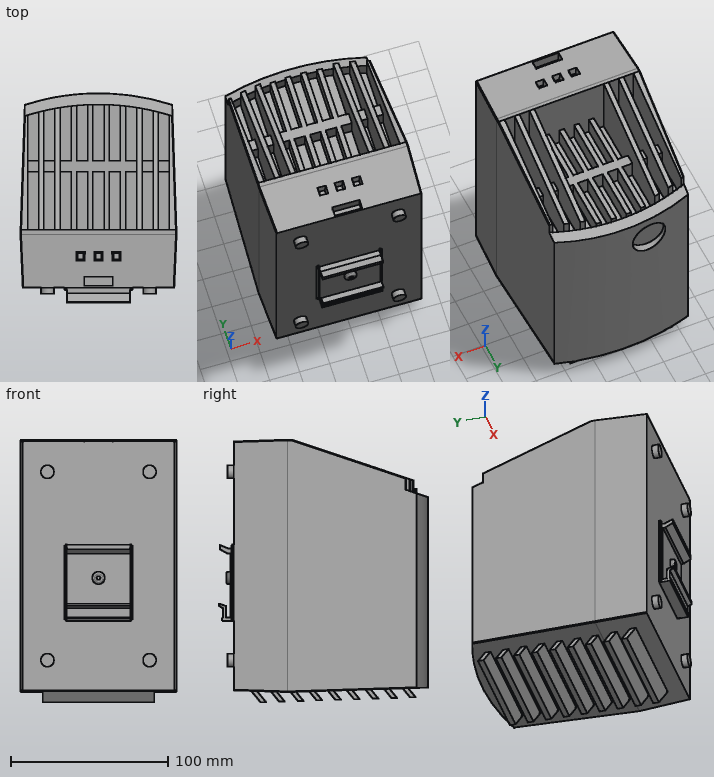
import cadquery as cq

TOTAL_WIDTH = 99.57
TOTAL_DEPTH = 133.18
TOTAL_HEIGHT = 167.1

PARTING_Y = 34.0
MAX_HALF_WIDTH = TOTAL_WIDTH / 2
BACK_HALF_WIDTH = 48.3
SIDE_END_Y = 115.4
SIDE_END_HALF_WIDTH = 47.0
CORNER_Y = 116.3
CORNER_HALF_WIDTH = 46.8
FRONT_Y = 123.6

TOP_Z = 160.7
END_TAPER = 1.1
BOTTOM_SLOPE = 0.032
OPENING_BACK_Y = 36.8
TOP_SLOPE = 0.335
EDGE_CHAMFER = 0.6

FRONT_WALL = 7.2
FRONT_WALL_DROP = 7.5

GAP_COUNT = 9
GAP_WIDTH = 7.0
GAP_PITCH = 10.4
GRILLE_DEPTH = 12.0
LOW_FIN_Z = 129.4
LOW_GAP_COUNT = 5
CROSSBAR_BACK_Y = 73.5
CROSSBAR_WIDTH = 7.0

DIAL_RADIUS = 12.0
DIAL_X = -16.7
DIAL_Z = 106.3
DIAL_FLOOR_Y = 118.0

WINDOW_PITCH = 11.4
WINDOW_Y = 19.8
WINDOW_SIZE = 5.8
WINDOW_FLOOR_SIZE = 3.7
WINDOW_DEPTH = 5.0
LATCH_WIDTH = 18.2
LATCH_LENGTH = 6.0
LATCH_BACK_Y = 1.0
LATCH_DEPTH = 8.0

FOOT_RADIUS = 4.2
FOOT_LENGTH = 4.1
FOOT_X = 32.5
FOOT_LOW_Z = 20.4
FOOT_HIGH_Z = 140.2

SLAT_COUNT = 9
SLAT_PITCH = 11.9
SLAT_WIDTH = 71.0
SLAT_THICKNESS = 3.7
SLAT_LEAN = 0.82
SLAT_RISE = 8.0
SLAT_FIRST_Y = 115.8
SLAT_LOWEST_Z = TOP_Z - TOTAL_HEIGHT

STRIP_SPREAD = 43.8
STRIP_THICKNESS = 1.7
STRIP_LOW_Z = 45.6
STRIP_HIGH_Z = 94.0
STRIP_CORNER = 1.2
STRIP_EDGE_CHAMFER = 0.8
CLIP_WIDTH = 40.2
CLIP_FACE_Y = -2.4

UPPER_HOOK_LOW_Z = 88.2
UPPER_HOOK_HIGH_Z = 91.5
UPPER_BEND_Y = -3.5
UPPER_UNDERSIDE_BEND_Y = -4.1
UPPER_TIP_Y = -8.9
UPPER_TIP_LOW_Z = 90.8
UPPER_TIP_HIGH_Z = 93.7

LOWER_HOOK_LOW_Z = 45.3
LOWER_FLOOR = 2.3
LOWER_WALL_Y = -5.0
LOWER_WALL = 2.0
LOWER_HEEL = 0.6
LOWER_LIP_ROOT_Z = 53.4
LOWER_LIP = 1.5
LOWER_TIP_Y = FRONT_Y - TOTAL_DEPTH

SCREW_Z = 72.7
SCREW_RADIUS = 4.0
SCREW_HEIGHT = 2.4
SCREW_ROUND = 1.3
SOCKET_SIDES = 6
SOCKET_DIAMETER = 2.6
SOCKET_DEPTH = 1.2

CUT_HEIGHT = 2 * TOP_Z
OVERLAP = 1.0


def behind_front_wall():
    """Prism along Z over the whole width, ending at the arched inner face of the front wall."""
    corner_y = CORNER_Y - FRONT_WALL
    return (
        cq.Workplane("XY")
        .moveTo(-MAX_HALF_WIDTH, OPENING_BACK_Y)
        .lineTo(MAX_HALF_WIDTH, OPENING_BACK_Y)
        .lineTo(MAX_HALF_WIDTH, corner_y)
        .lineTo(CORNER_HALF_WIDTH, corner_y)
        .threePointArc((0, FRONT_Y - FRONT_WALL), (-CORNER_HALF_WIDTH, corner_y))
        .lineTo(-MAX_HALF_WIDTH, corner_y)
        .close()
        .extrude(CUT_HEIGHT)
    )


def side_prism(points, width):
    """Prism along X, centred on x = 0, from (y, z) points."""
    return cq.Workplane("YZ").polyline(points).close().extrude(width / 2, both=True)


def top_z(y):
    """Height of the sloping top at y."""
    return TOP_Z - TOP_SLOPE * (y - OPENING_BACK_Y)


def bottom_z(y):
    """Height of the bottom at y, in front of the parting line."""
    return BOTTOM_SLOPE * (y - PARTING_Y)


def half_width(y):
    """Half width of the housing at y."""
    if y < PARTING_Y:
        return BACK_HALF_WIDTH + (MAX_HALF_WIDTH - BACK_HALF_WIDTH) * y / PARTING_Y
    narrowing = (MAX_HALF_WIDTH - SIDE_END_HALF_WIDTH) / (SIDE_END_Y - PARTING_Y)
    return MAX_HALF_WIDTH - narrowing * (y - PARTING_Y)


def edge_chamfer(stations, side, outward):
    """Wedge along a long edge through (y, z) stations; side is +1 or -1 in X, outward in Z."""
    wires = []
    for y, z in stations:
        edge_x = half_width(y)
        corners = [
            (edge_x - EDGE_CHAMFER - OVERLAP, z + outward * OVERLAP),
            (edge_x + OVERLAP, z - outward * (EDGE_CHAMFER + OVERLAP)),
            (edge_x + OVERLAP, z + outward * OVERLAP),
        ]
        points = [cq.Vector(side * x, y, corner_z) for x, corner_z in corners]
        wires.append(cq.Wire.makePolygon(points, close=True))
    return cq.Workplane(cq.Solid.makeLoft(wires, True))


def chamfer_long_edges(body):
    """Break the edges where the side walls meet the top and the bottom."""
    top = [
        (0, TOP_Z - END_TAPER),
        (PARTING_Y, TOP_Z),
        (OPENING_BACK_Y, TOP_Z),
        (CORNER_Y, top_z(CORNER_Y)),
    ]
    bottom = [(0, END_TAPER), (PARTING_Y, 0), (CORNER_Y, bottom_z(CORNER_Y))]
    for side in (-1, 1):
        body = body.cut(edge_chamfer(top, side, 1)).cut(edge_chamfer(bottom, side, -1))
    return body


def housing():
    plan = (
        cq.Workplane("XY")
        .moveTo(-BACK_HALF_WIDTH, 0)
        .lineTo(BACK_HALF_WIDTH, 0)
        .lineTo(MAX_HALF_WIDTH, PARTING_Y)
        .lineTo(SIDE_END_HALF_WIDTH, SIDE_END_Y)
        .lineTo(CORNER_HALF_WIDTH, CORNER_Y)
        .threePointArc((0, FRONT_Y), (-CORNER_HALF_WIDTH, CORNER_Y))
        .lineTo(-SIDE_END_HALF_WIDTH, SIDE_END_Y)
        .lineTo(-MAX_HALF_WIDTH, PARTING_Y)
        .close()
        .extrude(CUT_HEIGHT)
    )
    far_y = FRONT_Y + OVERLAP
    profile = side_prism(
        [
            (0, END_TAPER),
            (PARTING_Y, 0),
            (far_y, bottom_z(far_y)),
            (far_y, top_z(far_y)),
            (OPENING_BACK_Y, TOP_Z),
            (PARTING_Y, TOP_Z),
            (0, TOP_Z - END_TAPER),
        ],
        2 * MAX_HALF_WIDTH + OVERLAP,
    )
    return chamfer_long_edges(plan.intersect(profile))


def front_wall_step():
    """Space above the front wall, which stands lower than the fins."""
    rim_back_y = CORNER_Y - FRONT_WALL - OVERLAP
    far_y = FRONT_Y + OVERLAP
    above_rim = side_prism(
        [
            (rim_back_y, top_z(rim_back_y) - FRONT_WALL_DROP),
            (far_y, top_z(far_y) - FRONT_WALL_DROP),
            (far_y, TOP_Z),
            (rim_back_y, TOP_Z),
        ],
        2 * MAX_HALF_WIDTH,
    )
    return above_rim.cut(behind_front_wall())


def grille_cut():
    """Gaps between the fins, with the crossbar left standing and the middle fins lowered."""
    gaps = None
    length = FRONT_Y - OPENING_BACK_Y
    for i in range(GAP_COUNT):
        x = (i - (GAP_COUNT - 1) / 2) * GAP_PITCH
        gap = (
            cq.Workplane("XY", origin=(x, OPENING_BACK_Y + length / 2, LOW_FIN_Z - GRILLE_DEPTH))
            .rect(GAP_WIDTH, length)
            .extrude(TOP_Z)
        )
        gaps = gap if gaps is None else gaps.union(gap)
    crossbar = cq.Workplane("XY").box(
        2 * MAX_HALF_WIDTH, CROSSBAR_WIDTH, LOW_FIN_Z, centered=(True, False, False)
    )
    gaps = gaps.cut(crossbar.translate((0, CROSSBAR_BACK_Y, 0)))
    low_width = (LOW_GAP_COUNT - 1) * GAP_PITCH + GAP_WIDTH
    lowering = (
        cq.Workplane("XY", origin=(0, OPENING_BACK_Y + length / 2, LOW_FIN_Z))
        .rect(low_width, length)
        .extrude(TOP_Z)
    )
    return gaps.union(lowering).intersect(behind_front_wall())


def dial_recess():
    return (
        cq.Workplane("XZ", origin=(DIAL_X, FRONT_Y + OVERLAP, DIAL_Z))
        .circle(DIAL_RADIUS)
        .extrude(FRONT_Y + OVERLAP - DIAL_FLOOR_Y)
    )


def window_cuts():
    """Square windows narrowing towards their floors."""
    cuts = None
    for i in (-1, 0, 1):
        window = (
            cq.Workplane("XY", origin=(i * WINDOW_PITCH, WINDOW_Y, TOP_Z))
            .rect(WINDOW_SIZE, WINDOW_SIZE)
            .workplane(offset=-WINDOW_DEPTH)
            .rect(WINDOW_FLOOR_SIZE, WINDOW_FLOOR_SIZE)
            .loft()
        )
        cuts = window if cuts is None else cuts.union(window)
    return cuts


def latch_cut():
    """Rectangular pocket close to the mounting face."""
    pocket = cq.Workplane("XY").box(
        LATCH_WIDTH, LATCH_LENGTH, 2 * LATCH_DEPTH, centered=(True, False, True)
    )
    return pocket.translate((0, LATCH_BACK_Y, TOP_Z))


def feet():
    centres = [(x, z) for x in (-FOOT_X, FOOT_X) for z in (FOOT_LOW_Z, FOOT_HIGH_Z)]
    return (
        cq.Workplane("XZ", origin=(0, OVERLAP, 0))
        .pushPoints(centres)
        .circle(FOOT_RADIUS)
        .extrude(FOOT_LENGTH + OVERLAP)
    )


def slats():
    """Leaning slats, spaced along the sloping bottom."""
    slat_set = None
    for i in range(SLAT_COUNT):
        y = SLAT_FIRST_Y - i * SLAT_PITCH
        z = SLAT_LOWEST_Z + (SLAT_COUNT - 1 - i) * SLAT_PITCH * BOTTOM_SLOPE
        lean = SLAT_LEAN * SLAT_RISE
        slat = side_prism(
            [
                (y, z),
                (y - SLAT_THICKNESS, z),
                (y - SLAT_THICKNESS - lean, z + SLAT_RISE),
                (y - lean, z + SLAT_RISE),
            ],
            SLAT_WIDTH,
        )
        slat_set = slat if slat_set is None else slat_set.union(slat)
    return slat_set


def rail_clip():
    """Bent sheet with two hooks that grip the rail, between two side strips."""
    strips = (
        cq.Workplane("XZ", origin=(0, 0, (STRIP_LOW_Z + STRIP_HIGH_Z) / 2))
        .rect(STRIP_SPREAD, STRIP_HIGH_Z - STRIP_LOW_Z)
        .extrude(STRIP_THICKNESS)
        .edges("|Y")
        .chamfer(STRIP_CORNER)
        .faces("<Y")
        .chamfer(STRIP_EDGE_CHAMFER)
    )
    between = cq.Workplane("XY").box(CLIP_WIDTH, 2 * STRIP_THICKNESS, 2 * STRIP_HIGH_Z)
    strips = strips.cut(between)
    floor_z = LOWER_HOOK_LOW_Z + LOWER_FLOOR
    wall_outer_y = LOWER_WALL_Y - LOWER_WALL
    heel_y = wall_outer_y - LOWER_HEEL
    lip_tip_low_z = LOWER_LIP_ROOT_Z + LOWER_LIP
    lip_tip_high_z = lip_tip_low_z + LOWER_LIP
    sheet = side_prism(
        [
            (0, LOWER_HOOK_LOW_Z),
            (wall_outer_y, LOWER_HOOK_LOW_Z),
            (heel_y, LOWER_HOOK_LOW_Z + LOWER_HEEL),
            (heel_y, floor_z - LOWER_HEEL),
            (wall_outer_y, floor_z),
            (wall_outer_y, LOWER_LIP_ROOT_Z),
            (LOWER_TIP_Y, lip_tip_low_z),
            (LOWER_TIP_Y, lip_tip_high_z),
            (LOWER_WALL_Y, lip_tip_low_z),
            (LOWER_WALL_Y, floor_z),
            (CLIP_FACE_Y, floor_z),
            (CLIP_FACE_Y, UPPER_HOOK_LOW_Z),
            (UPPER_UNDERSIDE_BEND_Y, UPPER_HOOK_LOW_Z),
            (UPPER_TIP_Y, UPPER_TIP_LOW_Z),
            (UPPER_TIP_Y, UPPER_TIP_HIGH_Z),
            (UPPER_BEND_Y, UPPER_HOOK_HIGH_Z),
            (0, UPPER_HOOK_HIGH_Z),
        ],
        CLIP_WIDTH,
    )
    return strips.union(sheet)


def screw():
    head = (
        cq.Workplane("XZ", origin=(0, CLIP_FACE_Y, SCREW_Z))
        .circle(SCREW_RADIUS)
        .extrude(SCREW_HEIGHT)
        .faces("<Y")
        .edges()
        .fillet(SCREW_ROUND)
    )
    return head.faces("<Y").workplane().polygon(SOCKET_SIDES, SOCKET_DIAMETER).cutBlind(-SOCKET_DEPTH)


result = (
    housing()
    .cut(front_wall_step())
    .cut(grille_cut())
    .cut(dial_recess())
    .cut(window_cuts())
    .cut(latch_cut())
    .union(feet())
    .union(slats())
    .union(rail_clip())
    .union(screw())
)